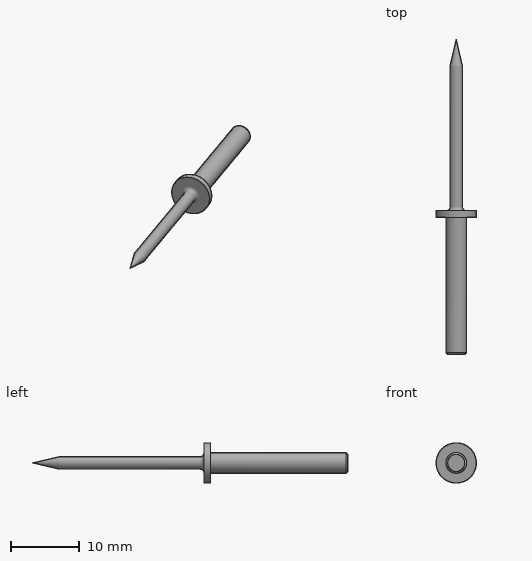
import cadquery as cq

length = 46.0
rear = -length / 2
tip = length / 2

shank_radius = 1.5
shank_length = 20.0
shank_chamfer = 0.28

flange_radius = 2.95
flange_thickness = 1.0

pin_radius = 0.9
root_fillet = 0.5
point_length = 3.9

flange_back = rear + shank_length
flange_front = flange_back + flange_thickness
point_start = tip - point_length

profile = (
    cq.Workplane("XY")
    .moveTo(0, rear)
    .lineTo(shank_radius - shank_chamfer, rear)
    .lineTo(shank_radius, rear + shank_chamfer)
    .lineTo(shank_radius, flange_back)
    .lineTo(flange_radius, flange_back)
    .lineTo(flange_radius, flange_front)
    .lineTo(pin_radius + root_fillet, flange_front)
    .radiusArc((pin_radius, flange_front + root_fillet), root_fillet)
    .lineTo(pin_radius, point_start)
    .lineTo(0, tip)
    .close()
)

result = profile.revolve(360, (0, 0, 0), (0, 1, 0))